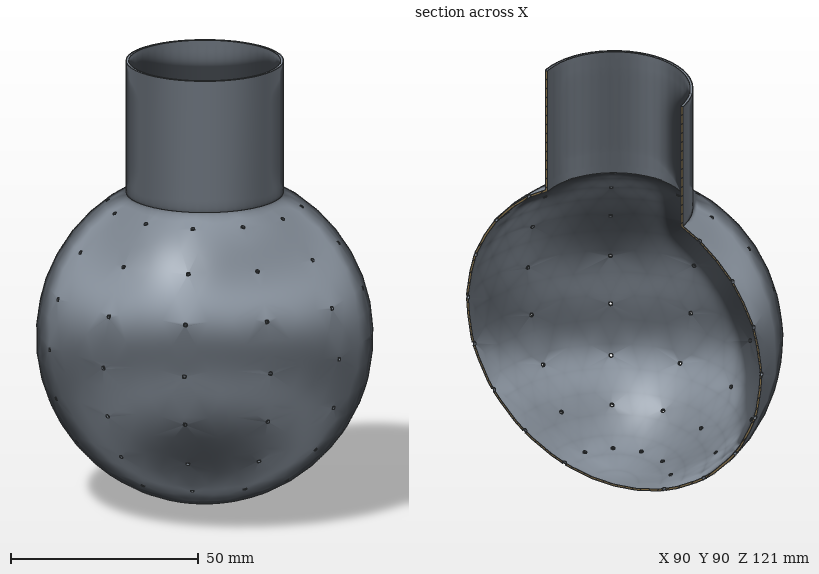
import cadquery as cq
import math

total_height = 121.0
sphere_diameter = 90.0
neck_diameter = 42.0
neck_bore_diameter = 40.5
hole_diameter = 1.0

holes_per_ring = 12
ring_count = 8
first_ring_angle = 35.5
ring_step = 17.8

sphere_radius = sphere_diameter / 2
neck_radius = neck_diameter / 2
bore_radius = neck_bore_diameter / 2
wall = neck_radius - bore_radius
inner_radius = sphere_radius - wall
centre_z = sphere_radius


def ball_with_neck(ball_radius, tube_radius):
    """Solid of revolution: a ball about the sphere centre with a round neck up to the top."""
    joint_z = centre_z + math.sqrt(ball_radius**2 - tube_radius**2)
    return (
        cq.Workplane("XZ")
        .moveTo(0, centre_z - ball_radius)
        .threePointArc((ball_radius, centre_z), (tube_radius, joint_z))
        .lineTo(tube_radius, total_height)
        .lineTo(0, total_height)
        .close()
        .revolve(360, (0, 0, 0), (0, 1, 0))
    )


def radial_hole(polar_angle, azimuth):
    """Drill that crosses the sphere wall, pointing straight out from the sphere centre."""
    polar = math.radians(polar_angle)
    turn = math.radians(azimuth)
    outward = cq.Vector(
        math.sin(polar) * math.cos(turn),
        math.sin(polar) * math.sin(turn),
        math.cos(polar),
    )
    start = cq.Vector(0, 0, centre_z) + outward * (inner_radius - wall)
    return cq.Solid.makeCylinder(hole_diameter / 2, 3 * wall, start, outward)


outside = ball_with_neck(sphere_radius, neck_radius)
inside = ball_with_neck(inner_radius, bore_radius)
shell = outside.cut(inside)

drills = [
    radial_hole(first_ring_angle + ring * ring_step, index * 360 / holes_per_ring)
    for ring in range(ring_count)
    for index in range(holes_per_ring)
]
result = shell.cut(cq.Compound.makeCompound(drills))